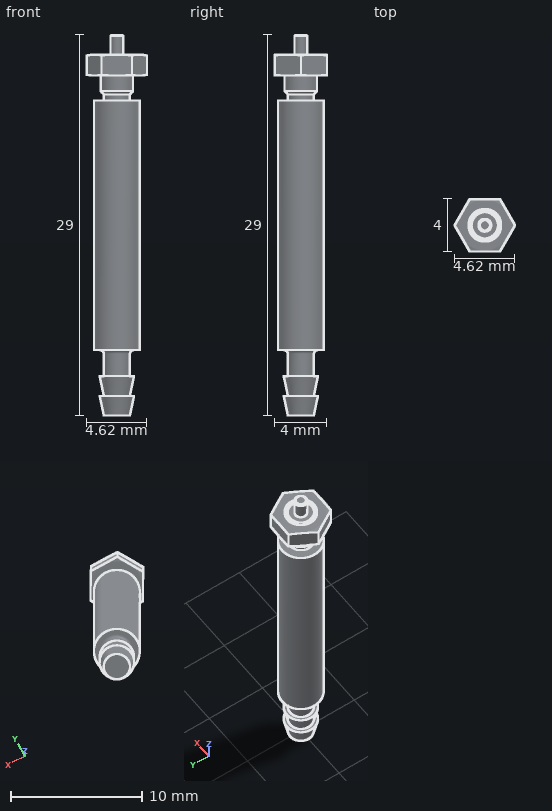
import cadquery as cq
import math

total_length = 29.0

rod_diameter = 1.0
rod_projection = 1.5
rod_chamfer = 0.1

nut_across_flats = 4.0
nut_height = 1.6
nut_chamfer_height = 0.05
nut_face_diameter = 3.9
nut_countersink_depth = 0.125
nut_top = total_length - rod_projection
nut_bottom = nut_top - nut_height

stud_diameter = 2.5
stud_end_diameter = 2.0
stud_chamfer = (stud_diameter - stud_end_diameter) / 2
stud_bottom = 24.48
groove_diameter = 2.0

barrel_diameter = 3.5
barrel_bottom = 5.0
barrel_top = total_length - barrel_bottom

neck_diameter = 2.0
neck_fillet = 0.3
barb_diameter = 2.65
barb_height = 1.5
barb_count = 2


def make_housing():
    """Stud, barrel and barbed connector turned as one solid, with a blind rod bore."""
    neck_radius = neck_diameter / 2
    barb_points = []
    for index in range(barb_count):
        barb_points.append((neck_radius, index * barb_height))
        barb_points.append((barb_diameter / 2, (index + 1) * barb_height))
    barrel_and_stud_points = [
        (barrel_diameter / 2, barrel_bottom),
        (barrel_diameter / 2, barrel_top),
        (groove_diameter / 2, barrel_top),
        (groove_diameter / 2, stud_bottom),
        (stud_diameter / 2, stud_bottom + stud_chamfer),
        (stud_diameter / 2, nut_top - stud_chamfer),
        (stud_end_diameter / 2, nut_top),
        (0, nut_top),
    ]
    arc_offset = neck_fillet * (1 - math.sqrt(0.5))
    profile = (
        cq.Workplane("XZ")
        .polyline([(0, 0), *barb_points, (neck_radius, barb_count * barb_height)])
        .lineTo(neck_radius, barrel_bottom - neck_fillet)
        .threePointArc(
            (neck_radius + arc_offset, barrel_bottom - arc_offset),
            (neck_radius + neck_fillet, barrel_bottom),
        )
    )
    for point in barrel_and_stud_points:
        profile = profile.lineTo(*point)
    body = profile.close().revolve(360, (0, 0), (0, 1))
    bore = (
        cq.Workplane("XY", origin=(0, 0, barrel_top))
        .circle(rod_diameter / 2)
        .extrude(nut_top - barrel_top)
    )
    return body.cut(bore)


def make_nut():
    """Hexagon with corners on the X axis, both faces chamfered, bored for the stud."""
    across_corners = nut_across_flats / math.cos(math.pi / 6)
    hexagon = (
        cq.Workplane("XY", origin=(0, 0, nut_bottom))
        .polygon(6, across_corners)
        .extrude(nut_height)
    )
    face_radius = nut_face_diameter / 2
    corner_radius = across_corners / 2
    corner_envelope = (
        cq.Workplane("XZ")
        .polyline([
            (0, nut_bottom),
            (face_radius, nut_bottom),
            (corner_radius, nut_bottom + nut_chamfer_height),
            (corner_radius, nut_top - nut_chamfer_height),
            (face_radius, nut_top),
            (0, nut_top),
        ])
        .close()
        .revolve(360, (0, 0), (0, 1))
    )
    stud_radius = stud_diameter / 2
    lip_radius = stud_radius - (stud_chamfer - nut_countersink_depth)
    bore = (
        cq.Workplane("XZ")
        .polyline([
            (0, nut_bottom),
            (stud_radius, nut_bottom),
            (stud_radius, nut_top - stud_chamfer),
            (lip_radius, nut_top - nut_countersink_depth),
            (stud_radius, nut_top),
            (0, nut_top),
        ])
        .close()
        .revolve(360, (0, 0), (0, 1))
    )
    return hexagon.intersect(corner_envelope).cut(bore)


def make_rod():
    """Round rod that rests on the floor of the housing bore."""
    return (
        cq.Workplane("XY", origin=(0, 0, barrel_top))
        .circle(rod_diameter / 2)
        .extrude(total_length - barrel_top)
        .faces(">Z")
        .chamfer(rod_chamfer)
    )


housing = make_housing()
nut = make_nut()
rod = make_rod()

result = cq.Compound.makeCompound([housing.val(), nut.val(), rod.val()])